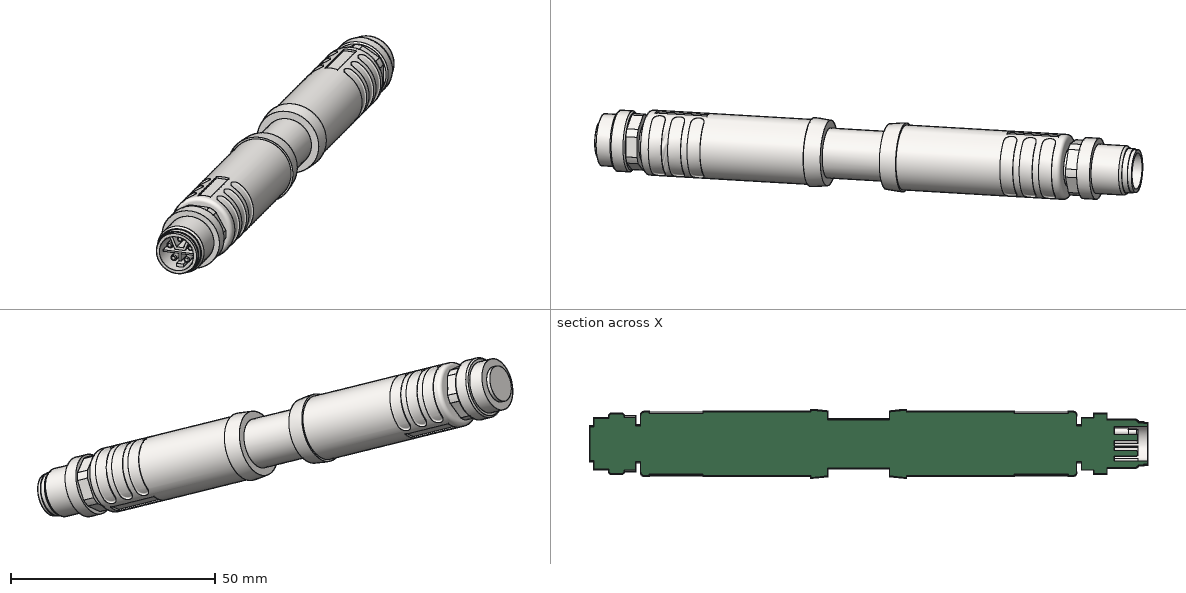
import cadquery as cq
import math

total_length = 136.8
male_tip_y = -total_length / 2
female_tip_y = total_length / 2
assembly_center_y = 2.5

cable_diameter = 12.3
housing_diameter = 16.0
housing_start = 7.5
housing_end = 53.5
housing_end_fillet = 1.0
collar_length = 4.2
collar_max_diameter = 17.0
collar_mid_diameter = 16.7
collar_min_diameter = 16.1

groove_count = 3
groove_width = 3.3
groove_pitch = 4.9
groove_depth = 0.4
groove_bottom_radius = 0.3
groove_tip_x = 2.8
first_groove = 39.8
label_width = 3.3
label_start = first_groove - groove_width / 2
label_length = (groove_count - 1) * groove_pitch + groove_width
label_depth = 0.5

neck_diameter = 9.5

hex_flats = 12.9
hex_corner_diameter = 13.8
female_hex_turn = 30
male_hex_turn = 0
ring_diameter = 15.0

female_hex_y = 57.0
female_ring_y = 59.9
female_sleeve_y = 63.7
female_sleeve_end_y = 67.5
female_ring_chamfer = 0.4
female_sleeve_diameter = 12.9
female_insert_diameter = 8.9

male_hex_y = -52.1
male_ring_y = -55.1
male_barrel_y = -58.4
male_barrel_end_y = -65.4
male_shoulder_y = -66.1
male_nose_y = -67.5
male_barrel_diameter = 12.2
male_bevel_diameter = 11.4
male_shoulder_diameter = 11.0
male_nose_diameter = 10.5

socket_diameter = 8.9
socket_depth = 8.2
pin_count = 5
pin_circle_radius = 2.9
pin_diameter = 1.5
pin_recess = 2.5
pin_tip_chamfer = 0.3
earth_collar_diameter = 2.0
earth_collar_recess = 4.8

shield_recess = 2.5
wedge_wall = 0.7
wedge_top_half_width = 2.3
wedge_top_z = 3.1
wedge_bottom_half_width = 1.1
wedge_bottom_z = 0.4
tee_bar_z = -0.7
tee_bar_thickness = 0.4
tee_stem_thickness = 0.5
tee_stem_bottom_z = -2.9

key_width = 1.8
key_top_z = -3.5


def cylinder(diameter, y_start, y_end):
    """Solid cylinder on the Y axis, from y_start up to y_end."""
    plane = cq.Plane(origin=(0, y_start, 0), xDir=(1, 0, 0), normal=(0, 1, 0))
    return cq.Workplane(plane).circle(diameter / 2).extrude(y_end - y_start)


def cone(start_diameter, end_diameter, y_start, y_end):
    """Solid cone frustum on the Y axis."""
    solid = cq.Solid.makeCone(
        start_diameter / 2,
        end_diameter / 2,
        y_end - y_start,
        pnt=cq.Vector(0, y_start, 0),
        dir=cq.Vector(0, 1, 0),
    )
    return cq.Workplane(solid)


def hexagon(y_start, y_end, turn):
    """Hexagonal prism with its corners rounded off; turn = 0 puts corners on +-X."""
    across_corners = hex_flats / math.cos(math.pi / 6)
    plane = cq.Plane(origin=(0, y_start, 0), xDir=(1, 0, 0), normal=(0, 1, 0))
    prism = cq.Workplane(plane).polygon(6, across_corners).extrude(y_end - y_start)
    prism = prism.rotate((0, 0, 0), (0, 1, 0), turn)
    return prism.intersect(cylinder(hex_corner_diameter, y_start, y_end))


def collar():
    """Crowned collar at the cable end of a housing."""
    start = housing_start
    end = housing_start + collar_length
    return (
        cq.Workplane("XY")
        .moveTo(0, start)
        .lineTo(collar_min_diameter / 2, start)
        .threePointArc(
            (collar_mid_diameter / 2, (start + end) / 2),
            (collar_max_diameter / 2, end),
        )
        .lineTo(0, end)
        .close()
        .revolve(360, (0, 0, 0), (0, 1, 0))
    )


def finger_grooves(groove_y):
    """Shallow grooves around both sides, each with round ends toward the top and bottom."""
    band_start = groove_y - groove_width / 2
    band_end = groove_y + groove_width / 2
    ring = cylinder(collar_max_diameter, band_start, band_end).cut(
        cylinder(housing_diameter - 2 * groove_depth, band_start, band_end)
    )
    length = housing_diameter
    side = groove_tip_x + length / 2
    outline = (
        cq.Workplane("XY")
        .pushPoints([(-side, groove_y), (side, groove_y)])
        .slot2D(length, groove_width)
        .extrude(housing_diameter, both=True)
    )
    tool = ring.intersect(outline)
    inside = cq.selectors.RadiusNthSelector(0)
    return tool.edges(inside).fillet(groove_bottom_radius)


def label_recesses():
    """Flat-bottomed rectangles sunk into the top and bottom of a housing."""
    floor_z = housing_diameter / 2 - label_depth
    label_y = label_start + label_length / 2
    recess = (
        cq.Workplane("XY", origin=(0, label_y, floor_z))
        .rect(label_width, label_length)
        .extrude(housing_diameter)
    )
    return recess.union(recess.mirror("XY"))


def housing():
    """Grip housing pointing toward +Y, measured from the mirror plane."""
    body = cylinder(housing_diameter, housing_start, housing_end)
    body = body.faces(">Y").edges().fillet(housing_end_fillet)
    body = body.union(collar())
    for i in range(groove_count):
        body = body.cut(finger_grooves(first_groove + i * groove_pitch))
    return body.cut(label_recesses())


def female_plug():
    """Hexagon, chamfered ring, sleeve and contact insert at the +Y end."""
    ring = cylinder(ring_diameter, female_ring_y, female_sleeve_y).edges().chamfer(female_ring_chamfer)
    neck_start = assembly_center_y + housing_end
    return (
        cylinder(neck_diameter, neck_start, female_hex_y)
        .union(hexagon(female_hex_y, female_ring_y, female_hex_turn))
        .union(ring)
        .union(cylinder(female_sleeve_diameter, female_sleeve_y, female_sleeve_end_y))
        .union(cylinder(female_insert_diameter, female_sleeve_end_y, female_tip_y))
    )


def contact_pins(floor_y):
    """Five pins evenly spaced in the socket; the top one is the collared earth pin."""
    tip_y = male_tip_y + pin_recess
    pin = cylinder(pin_diameter, tip_y, floor_y).faces("<Y").chamfer(pin_tip_chamfer)
    pin = pin.translate((0, 0, pin_circle_radius))
    earth_collar = cylinder(earth_collar_diameter, male_tip_y + earth_collar_recess, floor_y)
    pins = earth_collar.translate((0, 0, pin_circle_radius))
    for i in range(pin_count):
        pins = pins.union(pin.rotate((0, 0, 0), (0, 1, 0), i * 360 / pin_count))
    return pins


def earth_wedge(floor_y):
    """Thin wedge-shaped wall, open at the top, that screens the earth pin."""
    start_y = male_tip_y + shield_recess
    path = [
        (-wedge_top_half_width, wedge_top_z),
        (-wedge_bottom_half_width, wedge_bottom_z),
        (wedge_bottom_half_width, wedge_bottom_z),
        (wedge_top_half_width, wedge_top_z),
    ]
    return (
        cq.Workplane("XZ", origin=(0, floor_y, 0))
        .polyline(path)
        .offset2D(wedge_wall / 2, "intersection")
        .extrude(floor_y - start_y)
    )


def tee_wall(floor_y):
    """T-shaped wall: a bar across the socket and a stem between the lower pins."""
    depth = floor_y - (male_tip_y + shield_recess)
    stem_height = tee_bar_z - tee_stem_bottom_z
    plane = cq.Workplane("XZ", origin=(0, floor_y, 0))
    bar = plane.center(0, tee_bar_z).rect(socket_diameter, tee_bar_thickness).extrude(depth)
    stem_center_z = tee_bar_z - stem_height / 2
    stem = plane.center(0, stem_center_z).rect(tee_stem_thickness, stem_height).extrude(depth)
    return bar.union(stem)


def coding_key(floor_y):
    """Rib along the bottom of the socket, seated in the nose wall."""
    bottom_z = -male_shoulder_diameter / 2
    height = key_top_z - bottom_z
    block = (
        cq.Workplane("XZ", origin=(0, floor_y, 0))
        .center(0, bottom_z + height / 2)
        .rect(key_width, height)
        .extrude(floor_y - (male_tip_y + shield_recess))
    )
    return block.intersect(cylinder(male_nose_diameter, male_tip_y, floor_y))


def male_plug():
    """Hexagon, ring, barrel and hollow nose with pins at the -Y end."""
    floor_y = male_tip_y + socket_depth
    neck_end = assembly_center_y - housing_end
    return (
        cylinder(neck_diameter, male_hex_y, neck_end)
        .union(hexagon(male_ring_y, male_hex_y, male_hex_turn))
        .union(cylinder(ring_diameter, male_barrel_y, male_ring_y))
        .union(cylinder(male_barrel_diameter, male_barrel_end_y, male_barrel_y))
        .union(cone(male_bevel_diameter, male_barrel_diameter, male_shoulder_y, male_barrel_end_y))
        .union(cylinder(male_shoulder_diameter, male_nose_y, male_shoulder_y))
        .union(cylinder(male_nose_diameter, male_tip_y, male_nose_y))
        .cut(cylinder(socket_diameter, male_tip_y, floor_y))
        .union(contact_pins(floor_y))
        .union(earth_wedge(floor_y))
        .union(tee_wall(floor_y))
        .union(coding_key(floor_y))
    )


female_housing = housing()
male_housing = female_housing.mirror("XZ")
cable = cylinder(cable_diameter, -housing_start, housing_start)
middle = cable.union(female_housing).union(male_housing).translate((0, assembly_center_y, 0))

result = middle.union(female_plug()).union(male_plug())